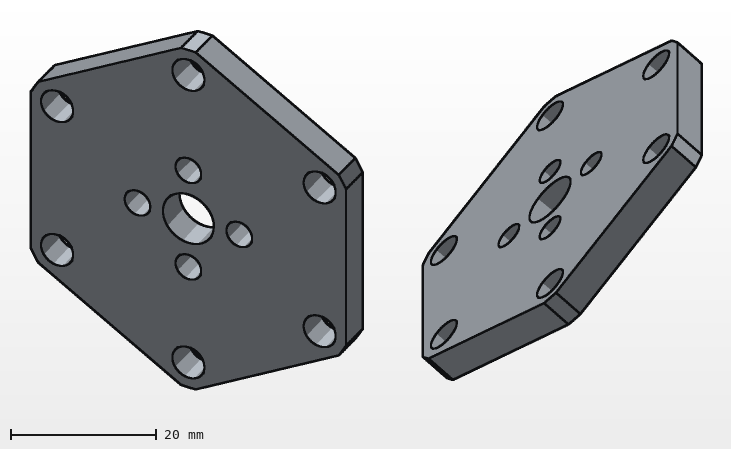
import cadquery as cq
import math

across_flats = 49.5
rim_diameter = 55.9
thickness = 4.75
corner_hole_diameter = 5.05
corner_hole_circle = 47.6
center_hole_diameter = 8.0
inner_hole_diameter = 4.0
inner_hole_circle = 16.0

sharp_corner_diameter = across_flats / math.cos(math.pi / 6)


def disc(diameter):
    """Round slab about the Y axis, as thick as the plate."""
    return cq.Workplane("XZ").circle(diameter / 2).extrude(thickness / 2, both=True)


def hole_ring(diameter, circle_diameter, count):
    """Cylinders along Y, evenly spaced on a circle, the first one at the top."""
    return (
        cq.Workplane("XZ")
        .polarArray(circle_diameter / 2, 90, 360, count)
        .circle(diameter / 2)
        .extrude(thickness / 2, both=True)
    )


hexagon = (
    cq.Workplane("XZ")
    .transformed(rotate=(0, 0, 90))
    .polygon(6, sharp_corner_diameter)
    .extrude(thickness / 2, both=True)
)

plate = hexagon.intersect(disc(rim_diameter))

result = (
    plate.cut(disc(center_hole_diameter))
    .cut(hole_ring(corner_hole_diameter, corner_hole_circle, 6))
    .cut(hole_ring(inner_hole_diameter, inner_hole_circle, 4))
)